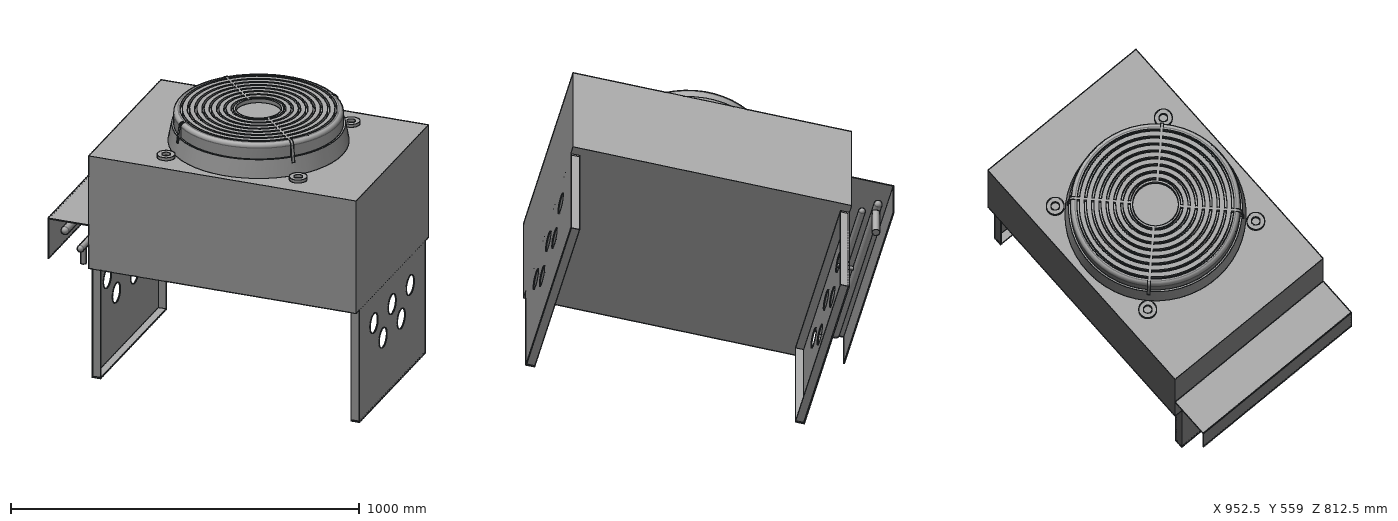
import cadquery as cq

LENGTH = 952.5
WIDTH = 559.0
HEIGHT = 812.5
BODY_LENGTH = 827.0
BODY_HEIGHT = 356.0
LEG_HEIGHT = 355.0
BODY_TOP = LEG_HEIGHT + BODY_HEIGHT
BODY_FRONT = -BODY_LENGTH / 2
SHEET = 3.0

LEG_WIDTH = 509.0
LEG_DEPTH = 27.0
LEG_HOLE_DIAMETER = 61.0
LEG_HOLE_PITCH = 140.0
LEG_HOLE_ROWS = ((3, 265.0), (2, 189.0))

HOOD_REACH = LENGTH - BODY_LENGTH
HOOD_DROP = 128.0
HOOD_TOP = 493.0

FAN_HEIGHT = HEIGHT - BODY_TOP
CONE_BASE_RADIUS = 260.0
CONE_TOP_RADIUS = 250.0
CONE_HEIGHT = 54.0
RIM_RADIUS = 244.0
RIM_FILLET = 12.0

GRILLE_DEPTH = 12.0
HUB_RADIUS = 66.0
SLOT_COUNT = 8
SLOT_WIDTH = 7.0
SLOT_PITCH = 21.0
FIRST_SLOT_RADIUS = 72.0
GRILLE_RADIUS = FIRST_SLOT_RADIUS + SLOT_PITCH * (SLOT_COUNT - 1) + SLOT_WIDTH
SPOKE_WIDTH = 9.0
SPOKE_COUNT = 4
SPOKE_START = 45

RIB_TOP_RADIUS = 247.0
RIB_BASE_RADIUS = 254.0
RIB_BASE_HEIGHT = 38.0

WASHER_RADIUS = 26.0
WASHER_HOLE_RADIUS = 12.0
WASHER_HEIGHT = 10.0
WASHER_CIRCLE_RADIUS = 289.0

PIPE_BOTTOM = LEG_HEIGHT - 17.0
HEADER_HALF_LENGTH = WIDTH / 2 - 40.0
DROP_Y = WIDTH / 2 - 63.0
FEED_DIAMETER = 11.0
LARGE_PIPE = {"standoff": 89.0, "height": 443.0, "header_diameter": 24.0, "drop_diameter": 22.0}
SMALL_PIPE = {"standoff": 41.0, "height": 393.0, "header_diameter": 20.0, "drop_diameter": 16.0}


def box_body():
    """Plain closed box above the legs."""
    return cq.Workplane("XY", origin=(0, 0, LEG_HEIGHT)).box(
        BODY_LENGTH, WIDTH, BODY_HEIGHT, centered=(True, True, False)
    )


def leg(side):
    """Pan-shaped leg at the body end given by side (+1 or -1), open towards the middle."""
    center_x = side * (BODY_LENGTH - LEG_DEPTH) / 2
    pan = cq.Workplane("XY").box(LEG_DEPTH, LEG_WIDTH, LEG_HEIGHT)
    hollow = cq.Workplane("XY").box(LEG_DEPTH, LEG_WIDTH - 2 * SHEET, LEG_HEIGHT - 2 * SHEET)
    pan = pan.cut(hollow.translate((-side * SHEET, 0, 0)))
    pan = pan.translate((center_x, 0, LEG_HEIGHT / 2))
    for count, height in LEG_HOLE_ROWS:
        drill = (
            cq.Workplane("YZ", origin=(center_x, 0, height))
            .rarray(LEG_HOLE_PITCH, 10, count, 1)
            .circle(LEG_HOLE_DIAMETER / 2)
            .extrude(LEG_DEPTH, both=True)
        )
        pan = pan.cut(drill)
    return pan


def hood():
    """Bent sheet: a flat top and a front plate, both over the full width."""
    return (
        cq.Workplane("XZ", origin=(BODY_FRONT, WIDTH / 2, HOOD_TOP))
        .polyline([
            (0, 0),
            (-HOOD_REACH, 0),
            (-HOOD_REACH, -HOOD_DROP),
            (SHEET - HOOD_REACH, -HOOD_DROP),
            (SHEET - HOOD_REACH, -SHEET),
            (0, -SHEET),
        ])
        .close()
        .extrude(WIDTH)
    )


def around_fan(shape):
    """Copies of a shape turned about the fan axis to every spoke direction."""
    step = 360 / SPOKE_COUNT
    return [
        shape.rotate((0, 0, 0), (0, 0, 1), SPOKE_START + step * index)
        for index in range(SPOKE_COUNT)
    ]


def fan_housing():
    """Conical base with a narrow ledge below the filleted rim."""
    return (
        cq.Workplane("XZ", origin=(0, 0, BODY_TOP))
        .polyline([
            (0, 0),
            (CONE_BASE_RADIUS, 0),
            (CONE_TOP_RADIUS, CONE_HEIGHT),
            (RIM_RADIUS, CONE_HEIGHT),
            (RIM_RADIUS, FAN_HEIGHT),
            (0, FAN_HEIGHT),
        ])
        .close()
        .revolve(360, (0, 0, 0), (0, 1, 0))
        .faces(">Z")
        .edges()
        .fillet(RIM_FILLET)
    )


def grille_cut():
    """Material removed from the fan top: the hub recess and the slots between the spokes."""
    top = cq.Workplane("XY", origin=(0, 0, HEIGHT))
    spoke = top.center(GRILLE_RADIUS / 2, 0).rect(GRILLE_RADIUS, SPOKE_WIDTH).extrude(-GRILLE_DEPTH)
    spokes = around_fan(spoke)
    cut = top.circle(HUB_RADIUS).extrude(-GRILLE_DEPTH)
    for index in range(SLOT_COUNT):
        radius = FIRST_SLOT_RADIUS + SLOT_PITCH * index
        slot = top.circle(radius + SLOT_WIDTH).circle(radius).extrude(-GRILLE_DEPTH)
        for bar in spokes:
            slot = slot.cut(bar)
        cut = cut.union(slot)
    return cut


def rib():
    """Rib along +X that starts on the grille and runs over the rim onto the cone."""
    return (
        cq.Workplane("XZ", origin=(0, SPOKE_WIDTH / 2, BODY_TOP))
        .moveTo(GRILLE_RADIUS, RIB_BASE_HEIGHT)
        .lineTo(RIB_BASE_RADIUS, RIB_BASE_HEIGHT)
        .lineTo(RIB_TOP_RADIUS, FAN_HEIGHT - RIM_FILLET)
        .radiusArc((RIB_TOP_RADIUS - RIM_FILLET, FAN_HEIGHT), -RIM_FILLET)
        .lineTo(GRILLE_RADIUS, FAN_HEIGHT)
        .close()
        .extrude(SPOKE_WIDTH)
    )


def washer():
    """Flat washer on the body top, placed along +X from the fan axis."""
    return (
        cq.Workplane("XY", origin=(WASHER_CIRCLE_RADIUS, 0, BODY_TOP))
        .circle(WASHER_RADIUS)
        .circle(WASHER_HOLE_RADIUS)
        .extrude(WASHER_HEIGHT)
    )


def pipe_run(standoff, height, header_diameter, drop_diameter, drop_y):
    """Round-ended header in front of the body with its drop pipe and feed."""
    x = BODY_FRONT - standoff
    header = (
        cq.Workplane("XZ", origin=(x, 0, height))
        .circle(header_diameter / 2)
        .extrude(HEADER_HALF_LENGTH, both=True)
    )
    for end_y in (-HEADER_HALF_LENGTH, HEADER_HALF_LENGTH):
        cap = cq.Workplane("XY", origin=(x, end_y, height)).sphere(header_diameter / 2)
        header = header.union(cap)
    drop = (
        cq.Workplane("XY", origin=(x, drop_y, height))
        .circle(drop_diameter / 2)
        .extrude(PIPE_BOTTOM - height)
    )
    feed = cq.Workplane("YZ", origin=(x, 0, height)).circle(FEED_DIAMETER / 2).extrude(standoff)
    return header.union(drop).union(feed)


result = box_body().union(leg(-1)).union(leg(1)).union(hood())
result = result.union(fan_housing()).cut(grille_cut())
for part in around_fan(rib()) + around_fan(washer()):
    result = result.union(part)
result = result.union(pipe_run(**LARGE_PIPE, drop_y=DROP_Y))
result = result.union(pipe_run(**SMALL_PIPE, drop_y=-DROP_Y))